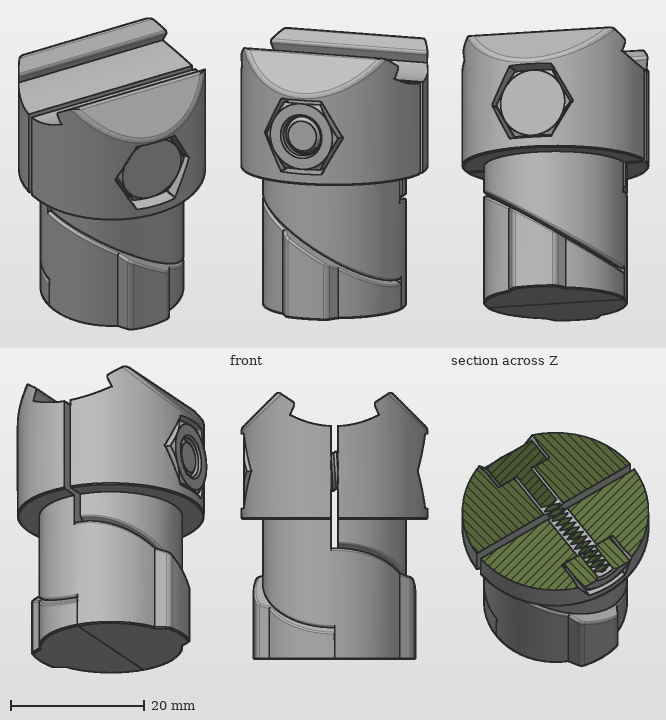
import cadquery as cq
import math

head_radius = 14.0
head_bottom = 21.0
head_bottom_chamfer = 0.2
stem_radius = 10.75
stem_bottom_chamfer = 0.2
slot_width = 1.0

seat_radius = 14.0
seat_bottom = 35.0
seat_edge_x = 6.65
lip_slope = math.tan(math.radians(34))
lip_tip_x = 5.9
lip_tip_height = 38.4
lip_edge_fillet = 0.5
bevel_peak = 48.6
bevel_rim_fillet = 1.0
crest_fillet = 0.5

joint_height = 10.7
joint_slope = math.tan(math.radians(31))
joint_gap = 0.5
joint_edge_fillet = 0.3

lug_radius = 12.15
lug_root_y = 4.45
lug_flank_slope = math.tan(math.radians(30))
lug_edge_fillet = 1.1

bolt_height = 28.25
bolt_radius = 3.0
bolt_hole_radius = 3.2
bolt_tip_x = -13.2
bolt_tip_chamfer = 0.7
bolt_head_height = 4.0
thread_pitch = 1.0
thread_depth = 0.35
thread_half_width = 0.45
thread_end_x = 2.0
thread_lead_turns = 2.5
thread_overcut = 0.02
nut_height = 5.2
nut_mouth_radius = 3.3

hex_across_flats = 10.0
hex_chamfer_slope = math.tan(math.radians(30))
pocket_floor = 8.4
pocket_across_flats = 10.7
pocket_mouth = 11.2
pocket_mouth_draft = 6.0

reach = 2 * head_radius


def corner_radius(across_flats):
    """Distance from the middle of a hexagon to its corners."""
    return across_flats / 2 / math.cos(math.pi / 6)


def slab(x_min, x_max):
    """Block between two X positions that spans the whole clamp in Y and Z."""
    block = cq.Workplane("XY").box(x_max - x_min, 4 * reach, 4 * reach)
    return block.translate(((x_min + x_max) / 2, 0, 0))


def below_incline(axis_height, slope):
    """Block below a plane that crosses the Z axis at axis_height and rises along Y by slope."""
    rise = reach * slope
    return (
        cq.Workplane("YZ")
        .moveTo(-reach, -reach)
        .lineTo(reach, -reach)
        .lineTo(reach, axis_height + rise)
        .lineTo(-reach, axis_height - rise)
        .close()
        .extrude(reach, both=True)
    )


def turned(profile):
    """Solid turned about the bolt axis from (x, radius) points."""
    return (
        cq.Workplane("XZ", origin=(0, 0, bolt_height))
        .polyline(profile)
        .close()
        .revolve(360, (0, 0, 0), (1, 0, 0))
    )


def hex_prism(across_flats, start_x, length, taper=0):
    """Hexagonal prism along the bolt axis with flats at its top and bottom; a negative taper widens it."""
    return (
        cq.Workplane("YZ", origin=(start_x, 0, bolt_height))
        .polygon(6, 2 * corner_radius(across_flats))
        .extrude(length, taper=taper)
    )


def hex_block(start_x, height):
    """Hexagon that faces +X, with its outer corners turned off."""
    flat = hex_across_flats / 2
    corner = corner_radius(hex_across_flats)
    end_x = start_x + height
    shoulder_x = end_x - (corner - flat) * hex_chamfer_slope
    envelope = turned([(start_x, 0), (start_x, corner), (shoulder_x, corner), (end_x, flat), (end_x, 0)])
    return hex_prism(hex_across_flats, start_x, height).intersect(envelope)




def beveled_disc():
    """Head disc cut by a 45 degree bevel with a rounded rim."""
    disc = cq.Workplane("XY", origin=(0, 0, head_bottom)).circle(head_radius).extrude(reach)
    disc = disc.faces("<Z").edges().chamfer(head_bottom_chamfer)
    bevel = (
        cq.Workplane("XZ")
        .polyline([(0, 0), (-reach, 0), (-reach, bevel_peak - reach), (0, bevel_peak)])
        .close()
        .extrude(reach, both=True)
    )
    return disc.intersect(bevel).edges("%ELLIPSE").fillet(bevel_rim_fillet)


def seat_height(x):
    """Height of the round bar seat at a distance x from the slot's middle plane."""
    return seat_bottom + seat_radius - math.sqrt(seat_radius**2 - x**2)


def head_profile():
    """Prism along Y with the outline of the bar seat, the lip above it and the bevel."""
    slot_x = slot_width / 2
    seat_mid_x = seat_edge_x / 2
    crest_x = (bevel_peak - lip_tip_height + lip_tip_x * lip_slope) / (1 + lip_slope)
    crest_z = bevel_peak - crest_x
    return (
        cq.Workplane("XZ")
        .moveTo(-slot_x, 0)
        .lineTo(-slot_x, seat_height(slot_x))
        .threePointArc((-seat_mid_x, seat_height(seat_mid_x)), (-seat_edge_x, seat_height(seat_edge_x)))
        .lineTo(-lip_tip_x, lip_tip_height)
        .lineTo(-crest_x, crest_z)
        .lineTo(-reach, bevel_peak - reach)
        .lineTo(-reach, 0)
        .close()
        .extrude(reach, both=True)
        .edges(cq.selectors.NearestToPointSelector((-crest_x, 0, crest_z)))
        .fillet(crest_fillet)
        .edges(cq.selectors.NearestToPointSelector((-lip_tip_x, 0, lip_tip_height)))
        .fillet(lip_edge_fillet)
    )


def pocket():
    """Hexagonal pocket with straight walls at its floor and drafted walls at its mouth."""
    straight = hex_prism(pocket_across_flats, -pocket_floor, pocket_floor - pocket_mouth)
    mouth = hex_prism(pocket_across_flats, -pocket_mouth, -pocket_mouth, -pocket_mouth_draft)
    return straight.union(mouth)


def head():
    """Half head with the bolt hole and the hexagonal pocket."""
    body = beveled_disc().intersect(head_profile())
    hole = turned([(-reach, 0), (-reach, bolt_hole_radius), (0, bolt_hole_radius), (0, 0)])
    return body.cut(hole).cut(pocket())


def upper_stem():
    """Stem above the joint, with a rounded lower edge."""
    stem = cq.Workplane("XY").circle(stem_radius).extrude(head_bottom)
    stem = stem.cut(below_incline(joint_height + joint_gap / 2, joint_slope))
    return stem.faces("<Z").edges().fillet(joint_edge_fillet)


def lug():
    """Prism with an arc outside and two slanted flanks that meet the stem at lug_root_y."""
    root_x = math.sqrt(stem_radius**2 - lug_root_y**2)
    tip_y = lug_root_y - (lug_radius - root_x) * lug_flank_slope
    return (
        cq.Workplane("XY")
        .moveTo(0, lug_root_y)
        .lineTo(root_x, lug_root_y)
        .lineTo(lug_radius, tip_y)
        .lineTo(lug_radius, -tip_y)
        .lineTo(root_x, -lug_root_y)
        .lineTo(0, -lug_root_y)
        .close()
        .extrude(head_bottom)
        .intersect(cq.Workplane("XY").circle(lug_radius).extrude(head_bottom))
        .edges("|Z")
        .edges(">X")
        .fillet(lug_edge_fillet)
    )


def lower_stem():
    """Stem and lug below the joint, with a rounded upper edge and a chamfered foot."""
    stem = cq.Workplane("XY").circle(stem_radius).extrude(head_bottom).union(lug())
    stem = stem.intersect(below_incline(joint_height - joint_gap / 2, -joint_slope))
    stem = stem.intersect(slab(-slot_width / 2, reach))
    stem = stem.faces("<Z").edges("not <X").chamfer(stem_bottom_chamfer)
    return stem.faces(">Z").edges("not <X").fillet(joint_edge_fillet)


def clamp_half():
    """Half head over its stem part, joined to the lower stem part of the opposite side."""
    above = upper_stem()
    below = lower_stem()
    bridge = above.intersect(below).intersect(slab(-slot_width / 2, 0))
    return (
        below.intersect(slab(0, reach))
        .union(bridge)
        .union(above.intersect(slab(-reach, -slot_width / 2)))
        .union(head())
    )




def thread_groove():
    """V groove wound about the bolt axis, from beyond the tip to thread_end_x."""
    start_x = bolt_tip_x - thread_lead_turns * thread_pitch
    root_radius = bolt_radius - thread_depth
    cutter_depth = thread_depth + thread_overcut
    cutter_half_width = thread_half_width * cutter_depth / thread_depth
    helix = cq.Wire.makeHelix(thread_pitch, thread_end_x - start_x, root_radius)
    groove = (
        cq.Workplane("XZ", origin=(root_radius, 0, 0))
        .polyline([(0, 0), (cutter_depth, cutter_half_width), (cutter_depth, -cutter_half_width)])
        .close()
        .sweep(cq.Workplane(obj=helix), isFrenet=True)
    )
    return groove.rotate((0, 0, 0), (0, 1, 0), 90).translate((start_x, 0, bolt_height))


def bolt():
    """Hexagon bolt with its head in the +X pocket and a chamfered tip at -X."""
    blank_x = bolt_tip_x - (thread_lead_turns + 1) * thread_pitch
    corner = corner_radius(hex_across_flats)
    shank = turned([(blank_x, 0), (blank_x, bolt_radius), (pocket_floor, bolt_radius), (pocket_floor, 0)])
    pointed = turned(
        [
            (bolt_tip_x, 0),
            (bolt_tip_x, bolt_radius - bolt_tip_chamfer),
            (bolt_tip_x + bolt_tip_chamfer, bolt_radius),
            (bolt_tip_x + bolt_tip_chamfer, corner),
            (pocket_floor, corner),
            (pocket_floor, 0),
        ]
    )
    threaded = shank.cut(thread_groove()).intersect(pointed)
    return threaded.union(hex_block(pocket_floor, bolt_head_height))


def nut():
    """Hexagon nut in the -X pocket, with a smooth bore and a countersunk outer mouth."""
    face_x = -pocket_floor - nut_height
    throat_x = face_x + nut_mouth_radius - bolt_radius
    bore = turned(
        [
            (face_x, 0),
            (face_x, nut_mouth_radius),
            (throat_x, bolt_radius),
            (-pocket_floor, bolt_radius),
            (-pocket_floor, 0),
        ]
    )
    return hex_block(pocket_floor, nut_height).rotate((0, 0, 0), (0, 0, 1), 180).cut(bore)


half_body = clamp_half()
clamp_halves = [half_body.rotate((0, 0, 0), (0, 0, 1), turn) for turn in (0, 180)]
clamp_bolt = bolt()
clamp_nut = nut()

result = cq.Compound.makeCompound(
    [
        *[half.solids().val() for half in clamp_halves],
        clamp_bolt.solids().val(),
        clamp_nut.solids().val(),
    ]
)